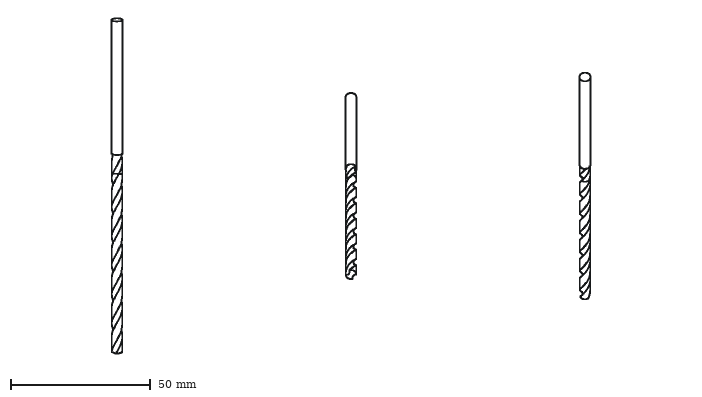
import cadquery as cq
import math

overall_length = 125.0
flute_end = 75.0
helix_end = 72.7
cutting_length = 67.7

shank_diameter = 4.0
cutting_diameter = 3.8
point_angle = 140.0

flute_count = 2
helix_angle = 30.0
flute_end_direction = 224.0
flute_radius = 1.3
core_radius = 0.9

shank_radius = shank_diameter / 2
cutting_radius = cutting_diameter / 2
point_height = cutting_radius / math.tan(math.radians(point_angle / 2))
lead = math.pi * shank_diameter / math.tan(math.radians(helix_angle))
flute_offset = core_radius + flute_radius

overrun = 1.0


def helical_flute(end_direction, flute_start):
    """Round groove that winds upward, right-handed, from flute_start to helix_end."""
    height = helix_end - flute_start
    turn = 360 * height / lead
    direction = math.radians(end_direction - turn)
    return (
        cq.Workplane("XY", origin=(0, 0, flute_start))
        .moveTo(flute_offset * math.cos(direction), flute_offset * math.sin(direction))
        .circle(flute_radius)
        .twistExtrude(height, turn)
    )


def flute_runout(end_direction):
    """Straight end of a flute, leaving the helix along its tangent and closed flat at flute_end."""
    direction = math.radians(end_direction)
    height = flute_end - helix_end
    sideways = height * 2 * math.pi * flute_offset / lead
    x = flute_offset * math.cos(direction)
    y = flute_offset * math.sin(direction)
    path = cq.Workplane("XY").polyline(
        [
            (x, y, helix_end),
            (x - sideways * math.sin(direction), y + sideways * math.cos(direction), flute_end),
        ]
    )
    return cq.Workplane("XY", origin=(x, y, helix_end)).circle(flute_radius).sweep(path)


def cutting_blank():
    """Conical point and the cylinder behind it."""
    return (
        cq.Workplane("XZ")
        .polyline(
            [
                (0, 0),
                (-cutting_radius, point_height),
                (-cutting_radius, cutting_length),
                (0, cutting_length),
            ]
        )
        .close()
        .revolve(360, (0, 0), (0, 1))
    )


def shank_blank():
    """Fluted neck as thick as the cutting part, then the plain round shank."""
    return (
        cq.Workplane("YZ")
        .polyline(
            [
                (0, cutting_length),
                (-cutting_radius, cutting_length),
                (-cutting_radius, flute_end),
                (-shank_radius, flute_end),
                (-shank_radius, overall_length),
                (0, overall_length),
            ]
        )
        .close()
        .revolve(360, (0, 0), (0, 1))
    )


cutting_part = cutting_blank()
shank = shank_blank()
for index in range(flute_count):
    end_direction = flute_end_direction + index * 360 / flute_count
    cutting_part = cutting_part.cut(helical_flute(end_direction, -overrun))
    shank = shank.cut(helical_flute(end_direction, cutting_length - overrun))
    shank = shank.cut(flute_runout(end_direction))

result = cq.Compound.makeCompound([cutting_part.val(), shank.val()])